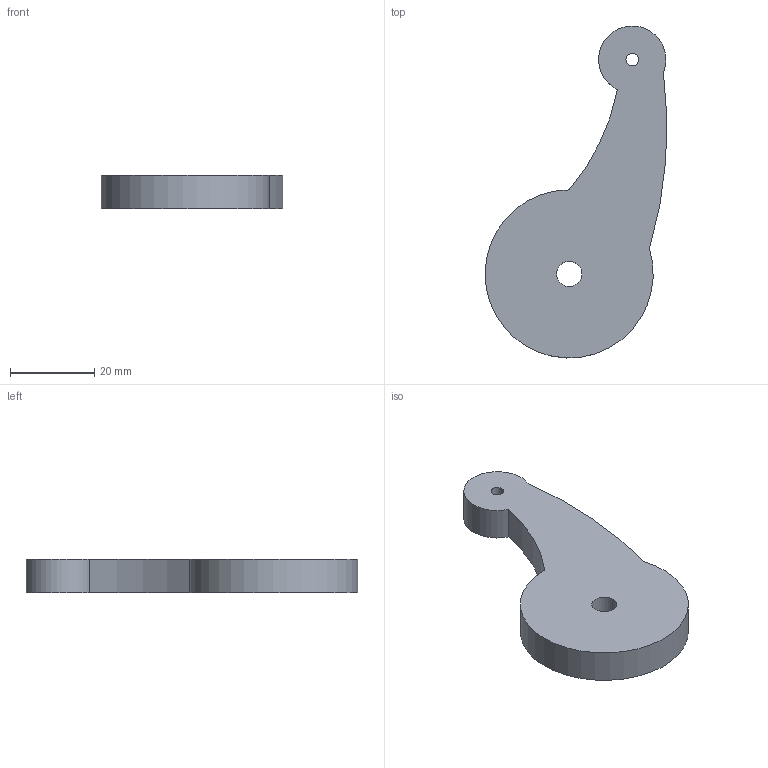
import cadquery as cq
import math

thickness = 8.0

hub_center = (0.0, 0.0)
hub_radius = 20.0
hub_bore_diameter = 6.0

tip_center = (15.0, 51.0)
tip_radius = 8.0
tip_bore_diameter = 3.0

inner_hub_angle = 90.0
inner_tip_angle = -116.0
inner_edge_mid = (7.2, 31.05)
outer_hub_angle = 17.4
outer_tip_angle = -22.0
outer_edge_mid = (23.25, 33.0)


def rim_point(center, radius, angle):
    """Point on a disc rim at the given angle."""
    angle_rad = math.radians(angle)
    return (center[0] + radius * math.cos(angle_rad), center[1] + radius * math.sin(angle_rad))


def disc(center, radius):
    """Full-thickness cylinder standing on the XY plane."""
    return cq.Workplane("XY").center(*center).circle(radius).extrude(thickness)


def curved_arm():
    """Arm bounded by two arcs; its straight ends are hidden inside the discs."""
    inner_start = rim_point(hub_center, hub_radius, inner_hub_angle)
    inner_end = rim_point(tip_center, tip_radius, inner_tip_angle)
    outer_start = rim_point(hub_center, hub_radius, outer_hub_angle)
    outer_end = rim_point(tip_center, tip_radius, outer_tip_angle)
    return (
        cq.Workplane("XY")
        .moveTo(*inner_start)
        .threePointArc(inner_edge_mid, inner_end)
        .lineTo(*outer_end)
        .threePointArc(outer_edge_mid, outer_start)
        .close()
        .extrude(thickness)
    )


hub = disc(hub_center, hub_radius)
tip = disc(tip_center, tip_radius)
lever = hub.union(curved_arm()).union(tip)

hub_bore = disc(hub_center, hub_bore_diameter / 2)
tip_bore = disc(tip_center, tip_bore_diameter / 2)
result = lever.cut(hub_bore).cut(tip_bore)